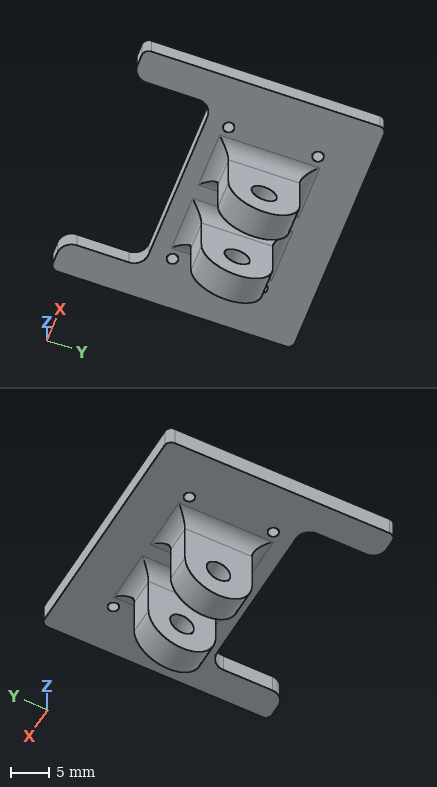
import cadquery as cq

plate_length = 35.17
plate_depth = 33.9
plate_thickness = 3.0
outer_corner_radius = 1.0
arm_width = 4.6
notch_depth = 11.3
notch_corner_radius = 2.0

mount_hole_diameter = 1.5
mount_spacing_x = 21.0
mount_spacing_y = 12.5
mount_back_margin = 6.95

total_height = 16.0
lug_thickness = 3.95
lug_spacing = 10.1
lug_width = 10.0
lug_center_y = 3.75
lug_hole_diameter = 3.5
lug_fillet_radius = 2.0

pick_margin = 0.35

notch_width = plate_length - 2 * arm_width
notch_top_y = -plate_depth / 2 + notch_depth
lug_drop = total_height - plate_thickness
lug_radius = lug_width / 2
lug_axis_z = lug_radius - lug_drop
mount_center_y = plate_depth / 2 - mount_back_margin - mount_spacing_y / 2


def make_plate():
    """U-shaped plate with rounded corners, without its mounting holes."""
    blank = (
        cq.Workplane("XY")
        .rect(plate_length, plate_depth)
        .extrude(plate_thickness)
        .edges("|Z")
        .fillet(outer_corner_radius)
    )
    notch = (
        cq.Workplane("XY")
        .center(0, notch_top_y - notch_depth / 2)
        .rect(notch_width, notch_depth)
        .extrude(plate_thickness)
    )
    notch_edges = cq.selectors.BoxSelector(
        (-notch_width / 2 - pick_margin, -plate_depth / 2 - pick_margin, -pick_margin),
        (notch_width / 2 + pick_margin, notch_top_y + pick_margin, plate_thickness + pick_margin),
    )
    return blank.cut(notch).edges("|Z").edges(notch_edges).fillet(notch_corner_radius)


def make_lug(center_x):
    """Lug with a semicircular lower end, its flat top on the plate underside."""
    return (
        cq.Workplane("YZ", origin=(center_x - lug_thickness / 2, lug_center_y, 0))
        .moveTo(-lug_radius, 0)
        .lineTo(-lug_radius, lug_axis_z)
        .threePointArc((0, -lug_drop), (lug_radius, lug_axis_z))
        .lineTo(lug_radius, 0)
        .close()
        .extrude(lug_thickness)
    )


body = make_plate()
for side in (-1, 1):
    body = body.union(make_lug(side * lug_spacing / 2))

lug_root_edges = cq.selectors.BoxSelector(
    (-lug_spacing, lug_center_y - lug_radius - pick_margin, -pick_margin),
    (lug_spacing, lug_center_y + lug_radius + pick_margin, pick_margin),
)
body = body.edges("|X or |Y").edges(lug_root_edges).fillet(lug_fillet_radius)

mount_holes = (
    cq.Workplane("XY")
    .center(0, mount_center_y)
    .rarray(mount_spacing_x, mount_spacing_y, 2, 2)
    .circle(mount_hole_diameter / 2)
    .extrude(plate_thickness)
)
pin_hole = (
    cq.Workplane("YZ")
    .center(lug_center_y, lug_axis_z)
    .circle(lug_hole_diameter / 2)
    .extrude(plate_length / 2, both=True)
)

result = body.cut(mount_holes).cut(pin_hole)